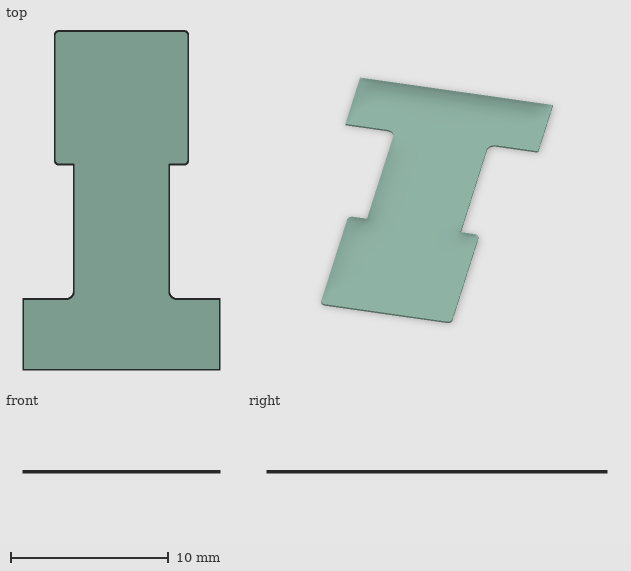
import cadquery as cq

total_length = 21.5
thickness = 0.12
base_width = 12.5
base_length = 4.5
neck_width = 6.06
head_width = 8.5
head_length = 8.5
neck_fillet = 0.5
head_rounding = 0.3

neck_length = total_length - base_length - head_length


def plate(width, length, y_start):
    """Flat rectangle centred on X, running from y_start towards +Y."""
    return (
        cq.Workplane("XY")
        .center(0, y_start + length / 2)
        .rect(width, length)
        .extrude(thickness)
    )


head = plate(head_width, head_length, base_length + neck_length)
head = head.edges("|Z").fillet(head_rounding)

base = plate(base_width, base_length, 0)
neck = plate(neck_width, base_length + neck_length, 0)
stem = base.union(neck)
for side in (-1, 1):
    corner = (side * neck_width / 2, base_length, thickness / 2)
    stem = stem.edges(cq.selectors.NearestToPointSelector(corner)).fillet(neck_fillet)

result = stem.union(head)